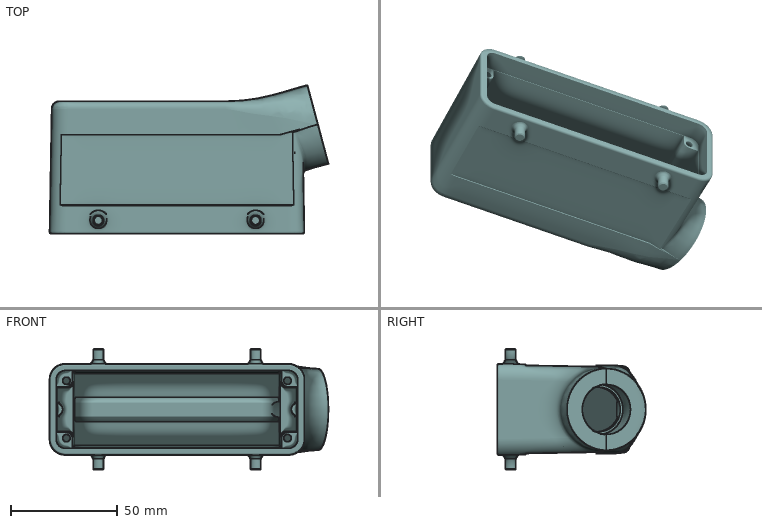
import cadquery as cq
import math


overall_x = 131.32
overall_y = 69.97
overall_z = 57.0

body_length = 120.0
body_height = 43.0
body_depth = 62.4
body_corner_radius = 7.5
body_draft = 1.0
back_fillet = 3.7
rim_fillet = 1.0

wall = 3.15
mouth_depth = 9.5
mouth_corner_radius = 4.5
mouth_step = 0.25
back_wall = 3.4
cavity_draft = 1.4

panel_depth = 0.5
panel_front = 13.15
panel_back = 46.6

pin_spacing = 74.0
pin_y = 6.3
pin_diameter = 4.99
pin_chamfer = 0.5
pin_collar_diameter = 6.1
pin_collar_height = 0.7
pin_cone_height = 1.8
pin_foot_radius = 4.75
pin_root_depth = 1.5
pin_foot_sink = 0.05

screw_spacing_x = 104.0
screw_spacing_z = 27.0
screw_hole_diameter = 3.5
screw_hole_depth = 14.0
post_wall_radius = 2.75
shelf_y = 31.0
post_draft = 1.5
guide_diameter = 6.1
guide_front = 19.0
shelf_fillet = 0.8
floor_fillet = 0.6
rib_fillet = 0.8

rib_top_y = 56.3
rib_top_width = 6.8
rib_base_width = 11.4

entry_angle = 15.0
entry_radius = 19.2
entry_taper = 1.0
entry_length = 26.0
entry_blend_start = 23.0
entry_blend_radius = 11.5
rounding_growth = 1.3
blend_overlap = 2.0
end_flat = 0.05
entry_root_fillet = 1.5
thread_core_diameter = 23.5
thread_depth = 14.0
cable_bore_diameter = 21.0
cable_bore_length = 50.0

tolerance = 0.01
reach = 10.0

half_length = body_length / 2
half_height = body_height / 2
draft_slope = math.tan(math.radians(body_draft))
cavity_end = half_length - wall
cavity_side = half_height - wall
post_x = screw_spacing_x / 2 - post_wall_radius
post_z = screw_spacing_z / 2 - post_wall_radius
floor_y = body_depth - back_wall
entry_sin = math.sin(math.radians(entry_angle))
entry_cos = math.cos(math.radians(entry_angle))
entry_x = overall_x - half_length - entry_radius * entry_sin
entry_y = overall_y - entry_radius * entry_cos
axis_turn_x = entry_x - (entry_y - panel_back) * entry_cos / entry_sin


def axis_y(x):
    """Y of the entry axis at a given x."""
    return entry_y + (x - entry_x) * entry_sin / entry_cos


def xz_plane(y):
    """Plane across the box at depth y: local x = X, local y = Z, normal = -Y."""
    return cq.Workplane("XZ", origin=(0, y, 0))


def side_height(y):
    """Half height of the drafted box at depth y."""
    return half_height - y * draft_slope


def between(start, end, fraction):
    """Value part of the way from start to end."""
    return start + (end - start) * fraction


def along_entry(radius, length, widening=0):
    """Round body on the entry axis, running back into the box from the end face."""
    plane = cq.Plane(origin=(entry_x, entry_y, 0), xDir=(0, 0, 1), normal=(-entry_cos, -entry_sin, 0))
    return cq.Workplane(plane).circle(radius).extrude(length, taper=-widening)


def make_body():
    """Drafted box with the round entry tube, cut back to where the entry blend takes over."""
    raw_depth = overall_y + body_corner_radius
    body = xz_plane(0).rect(body_length, body_height).extrude(-raw_depth, taper=body_draft)
    body = body.edges("not(#Y)").edges("not(|X or |Z)").fillet(body_corner_radius)
    body = body.faces("<Y").edges().fillet(rim_fillet)
    body = body.union(along_entry(entry_radius, entry_length, entry_taper))
    joint = cq.selectors.BoxSelector(
        (half_length - body_corner_radius / 2, axis_y(half_length) - 1.25 * entry_radius, -half_height),
        (half_length, overall_y, half_height),
    )
    body = body.edges(joint).fillet(entry_root_fillet)
    body = body.cut(make_blend_clearance())
    back_edges = cq.selectors.BoxSelector(
        (-half_length, body_depth - tolerance, -half_height),
        (entry_blend_start - tolerance, body_depth + tolerance, half_height),
    )
    return body.edges(back_edges).fillet(back_fillet)


def make_blend_clearance():
    """Everything behind the box, and its back corner that gives way to the entry blend."""
    x_right = entry_x + reach
    y_far = overall_y + 2 * reach
    return (
        cq.Workplane("XY").moveTo(-half_length, body_depth).lineTo(entry_blend_start, body_depth)
        .lineTo(entry_blend_start, panel_back)
        .lineTo(axis_turn_x, panel_back)
        .lineTo(x_right, axis_y(x_right)).lineTo(x_right, y_far)
        .lineTo(-half_length, y_far).close()
        .extrude(body_height, both=True)
    )


def entry_section(top_point, angle, height, bottom_half, top_half, radius):
    """Wire with a flat bottom and rounded top corners, square to a direction in the XY plane."""
    a = math.radians(angle)
    plane = cq.Plane(
        origin=(top_point[0], top_point[1], 0), xDir=(0, 0, -1), normal=(math.cos(a), math.sin(a), 0)
    )
    outline = (
        cq.Workplane(plane).moveTo(-bottom_half, -height).lineTo(bottom_half, -height)
        .lineTo(top_half, 0).lineTo(-top_half, 0).close().val()
    )
    face = cq.Face.makeFromWires(outline)
    middle_y = top_point[1] - height * math.cos(a) / 2
    corners = [v for v in face.Vertices() if v.Y > middle_y]
    return face.fillet2D(radius, corners).outerWire()


def make_entry_blend():
    """Upper half of the entry, growing out of the back edge of the box along an arc."""
    outline_angle = entry_angle + entry_taper
    end_top_x = entry_x - entry_radius * entry_sin
    corner_x = end_top_x - (overall_y - body_depth) / math.tan(math.radians(outline_angle))
    tangent_length = corner_x - entry_blend_start
    arc_radius = tangent_length / math.tan(math.radians(outline_angle / 2))
    arc_end_x = corner_x + tangent_length * math.cos(math.radians(outline_angle))
    arc_end_back = (end_top_x - arc_end_x) / math.cos(math.radians(outline_angle))

    start_height = body_depth - panel_back + blend_overlap
    arc_end_height = entry_radius + arc_end_back * math.sin(math.radians(entry_taper))
    start_bottom = side_height(body_depth - start_height)
    start_top = side_height(body_depth)

    sections = []
    for fraction in (0.0, 0.15, 0.5, 1.0):
        angle = outline_angle * fraction
        a = math.radians(angle)
        top = (entry_blend_start + arc_radius * math.sin(a), body_depth + arc_radius * (1 - math.cos(a)))
        sections.append(entry_section(
            top, angle,
            between(start_height, arc_end_height, fraction),
            start_bottom,
            between(start_top, start_bottom, fraction),
            between(back_fillet, entry_blend_radius, fraction ** rounding_growth),
        ))
    middle_height = between(arc_end_height, entry_radius, 0.5)
    middle_half = between(start_bottom, entry_radius, 0.5)
    middle_top = (between(arc_end_x, end_top_x, 0.5), between(top[1], overall_y, 0.5))
    sections.append(entry_section(
        middle_top, entry_angle, middle_height, middle_half, middle_half,
        between(entry_blend_radius, entry_radius, 0.5),
    ))
    end_top = (end_top_x, overall_y)
    sections.append(entry_section(
        end_top, entry_angle, entry_radius, entry_radius, entry_radius, entry_radius - end_flat
    ))
    return cq.Workplane(cq.Solid.makeLoft(sections))


def make_panel_cut(side):
    """Slab above a plane parallel to the drafted +Z (side = 1) or -Z (side = -1) face."""
    x_left = -half_length - reach
    x_right = entry_x + reach
    y_right = axis_y(x_right)
    outline = (
        cq.Workplane("XY").moveTo(x_left, panel_front).lineTo(x_right, panel_front)
        .lineTo(x_right, y_right).lineTo(axis_turn_x, panel_back).lineTo(x_left, panel_back).close()
        .extrude(side * half_height * 2)
    )
    floor_front = panel_front + panel_depth
    y_far = y_right + reach
    above = (
        cq.Workplane("YZ", origin=(x_left, 0, 0))
        .moveTo(panel_front, side * side_height(panel_front))
        .lineTo(floor_front, side * (side_height(floor_front) - panel_depth))
        .lineTo(y_far, side * (side_height(y_far) - panel_depth))
        .lineTo(y_far, side * half_height * 2)
        .lineTo(panel_front, side * half_height * 2)
        .close().extrude(x_right - x_left)
    )
    return outline.intersect(above)


def make_end_solid(side):
    """Material kept at one end of the cavity: a shelf, two screw posts and a half-round guide."""
    outer = side * (cavity_end + 1)
    inner = side * post_x
    lean = side * (floor_y - mouth_depth) * math.tan(math.radians(post_draft))
    solid = (
        cq.Workplane("XY").moveTo(outer, mouth_depth).lineTo(inner, mouth_depth)
        .lineTo(inner - lean, floor_y).lineTo(outer, floor_y).close()
        .extrude(half_height, both=True)
    )
    gap = (
        xz_plane(mouth_depth).center(inner, 0).rect(body_length / 2, 2 * post_z)
        .extrude(mouth_depth - shelf_y, taper=post_draft)
    )
    solid = solid.cut(gap)
    post_edges = cq.selectors.BoxSelector(
        (inner - 2, mouth_depth, -post_z - 1), (inner + 2, shelf_y - 1, post_z + 1)
    )
    solid = solid.edges(post_edges).fillet(post_wall_radius)
    guide = (
        xz_plane(guide_front).center(side * cavity_end, 0)
        .circle(guide_diameter / 2).extrude(guide_front - shelf_y)
    )
    return solid.union(guide)


def make_rib():
    """Rib with sloping sides along the back of the cavity."""
    return (
        cq.Workplane("YZ", origin=(-half_length, 0, 0))
        .moveTo(floor_y, -rib_base_width / 2).lineTo(rib_top_y, -rib_top_width / 2)
        .lineTo(rib_top_y, rib_top_width / 2).lineTo(floor_y, rib_base_width / 2)
        .close().extrude(body_length)
        .faces("<Y").edges("|X").fillet(rib_fillet)
    )


def make_cavity():
    """Hollow of the box: a straight mouth and a drafted chamber around the end solids and rib."""
    mouth = cq.Sketch().rect(2 * cavity_end, 2 * cavity_side).vertices().fillet(mouth_corner_radius)
    inner = (
        cq.Sketch().rect(2 * (cavity_end - mouth_step), 2 * (cavity_side - mouth_step))
        .vertices().fillet(mouth_corner_radius - mouth_step)
    )
    deep = xz_plane(mouth_depth).placeSketch(inner).extrude(mouth_depth - floor_y, taper=cavity_draft)
    deep = deep.cut(make_rib())
    for side in (1, -1):
        deep = deep.cut(make_end_solid(side))
    deep = deep.faces(">Y").edges("|Z").fillet(floor_fillet)
    for side in (1, -1):
        x_low, x_high = sorted((side * (cavity_end - guide_diameter / 2), side * cavity_end))
        shelf_edges = cq.selectors.BoxSelector(
            (x_low, shelf_y - tolerance, -post_z),
            (x_high, shelf_y + tolerance, post_z),
        )
        deep = deep.edges(shelf_edges).fillet(shelf_fillet)
    return deep.union(xz_plane(0).placeSketch(mouth).extrude(-mouth_depth))


def make_pin():
    """Locking pin standing on +Z, with a conical collar and a rounded foot."""
    tip = overall_z / 2
    pin_radius = pin_diameter / 2
    collar_radius = pin_collar_diameter / 2
    collar_z = half_height + pin_collar_height
    foot_z = side_height(pin_y) - pin_foot_sink
    bulge = math.sqrt(0.5)
    profile = (
        cq.Workplane("XZ").moveTo(0, half_height - pin_root_depth)
        .lineTo(pin_foot_radius, half_height - pin_root_depth)
        .lineTo(pin_foot_radius, foot_z)
        .threePointArc(
            (pin_foot_radius - bulge * (pin_foot_radius - collar_radius),
             collar_z - bulge * (collar_z - foot_z)),
            (collar_radius, collar_z))
        .lineTo(pin_radius, half_height + pin_cone_height)
        .lineTo(pin_radius, tip - pin_chamfer)
        .lineTo(pin_radius - pin_chamfer, tip)
        .lineTo(0, tip).close()
    )
    return profile.revolve(360, (0, 0, 0), (0, 1, 0))


def screw_holes():
    """Blind holes in the four screw posts."""
    return (
        xz_plane(mouth_depth).rect(screw_spacing_x, screw_spacing_z, forConstruction=True).vertices()
        .circle(screw_hole_diameter / 2).extrude(-screw_hole_depth)
    )


result = make_body().union(make_entry_blend())
for panel_side in (1, -1):
    result = result.cut(make_panel_cut(panel_side))
result = result.cut(make_cavity())
result = result.cut(along_entry(cable_bore_diameter / 2, cable_bore_length))
result = result.cut(along_entry(thread_core_diameter / 2, thread_depth))
result = result.cut(screw_holes())
for pin_x in (-pin_spacing / 2, pin_spacing / 2):
    pin = make_pin().translate((pin_x, pin_y, 0))
    result = result.union(pin).union(pin.mirror("XY"))